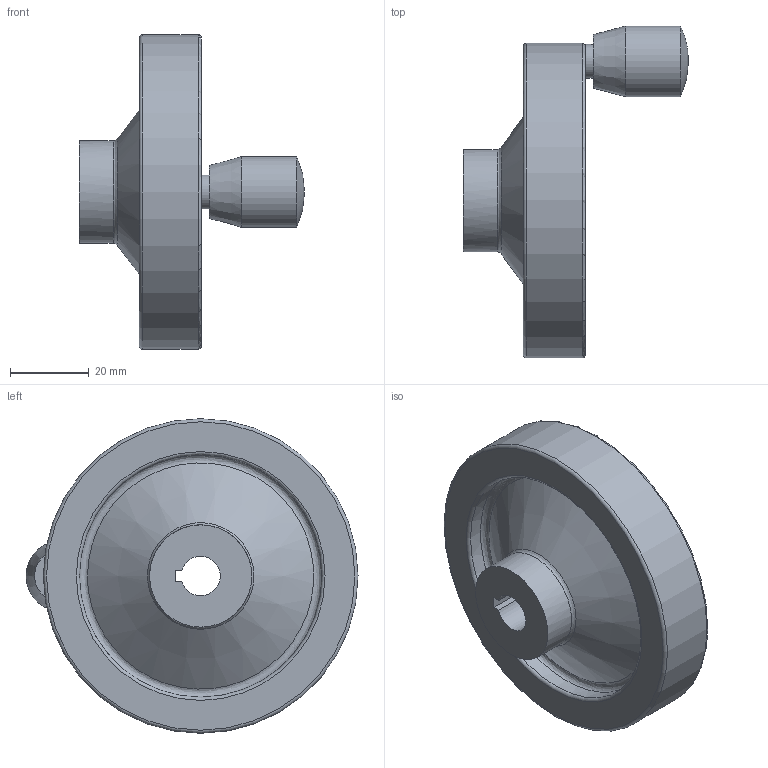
import cadquery as cq
import math


wheel_radius = 80 / 2
rim_inner_radius = 61.64 / 2
rim_width = 15.8
hub_radius = 26 / 2
hub_projection = 15.2
rim_edge_fillet = 0.8

web_start = 9.2
web_half_angle = 54
web_root_fillet = 1.3

bore_radius = 10 / 2
keyway_width = 3
keyway_reach = 6.4

stem_radius = 8.64 / 2
stem_length = 2
grip_radius = 18 / 2
taper_length = 8.2
taper_angle = 15
grip_straight_length = 14
dome_height = 2.01

rim_front = hub_projection
rim_back = rim_front + rim_width
web_depth = (rim_inner_radius - hub_radius) / math.tan(math.radians(web_half_angle))
web_end = web_start + web_depth
grip_axis_y = (wheel_radius + rim_inner_radius) / 2
grip_small_radius = grip_radius - taper_length * math.tan(math.radians(taper_angle))


def circles_at(x):
    """Select every circular edge around the wheel axis that lies in the plane at x."""
    margin = 0.01
    reach = wheel_radius + margin
    return cq.selectors.BoxSelector(
        (x - margin, -reach, -reach), (x + margin, reach, reach), boundingbox=True
    )


def make_wheel():
    """Revolve the hub, conical web and rim, then round the rim edges and web roots."""
    wheel = (
        cq.Workplane("XY")
        .moveTo(0, 0)
        .lineTo(0, hub_radius)
        .lineTo(web_start, hub_radius)
        .lineTo(web_end, rim_inner_radius)
        .lineTo(rim_front, rim_inner_radius)
        .lineTo(rim_front, wheel_radius)
        .lineTo(rim_back, wheel_radius)
        .lineTo(rim_back, 0)
        .close()
        .revolve(360, (0, 0, 0), (1, 0, 0))
    )
    for x in (web_start, web_end):
        wheel = wheel.edges(circles_at(x)).fillet(web_root_fillet)
    for x in (rim_front, rim_back):
        wheel = wheel.edges(circles_at(x)).fillet(rim_edge_fillet)
    return wheel


def make_bore():
    """Through bore with a keyway on the +Y side."""
    bore = cq.Workplane("YZ").circle(bore_radius).extrude(rim_back)
    keyway = cq.Workplane("XY").box(
        rim_back, keyway_reach, keyway_width, centered=(False, False, True)
    )
    return bore.union(keyway)


def make_grip():
    """Revolve the stem, tapered neck, straight barrel and domed end of the grip."""
    taper_start = rim_back + stem_length
    taper_end = taper_start + taper_length
    dome_start = taper_end + grip_straight_length
    dome_tip = dome_start + dome_height
    dome_radius = (grip_radius**2 + dome_height**2) / (2 * dome_height)
    half_dome_angle = math.asin(grip_radius / dome_radius) / 2
    dome_mid_x = dome_tip - dome_radius * (1 - math.cos(half_dome_angle))
    dome_mid_radius = dome_radius * math.sin(half_dome_angle)
    return (
        cq.Workplane("XY", origin=(0, grip_axis_y, 0))
        .moveTo(rim_back, 0)
        .lineTo(rim_back, stem_radius)
        .lineTo(taper_start, stem_radius)
        .lineTo(taper_start, grip_small_radius)
        .lineTo(taper_end, grip_radius)
        .lineTo(dome_start, grip_radius)
        .threePointArc((dome_mid_x, dome_mid_radius), (dome_tip, 0))
        .close()
        .revolve(360, (0, 0, 0), (1, 0, 0))
    )


result = make_wheel().cut(make_bore()).union(make_grip())